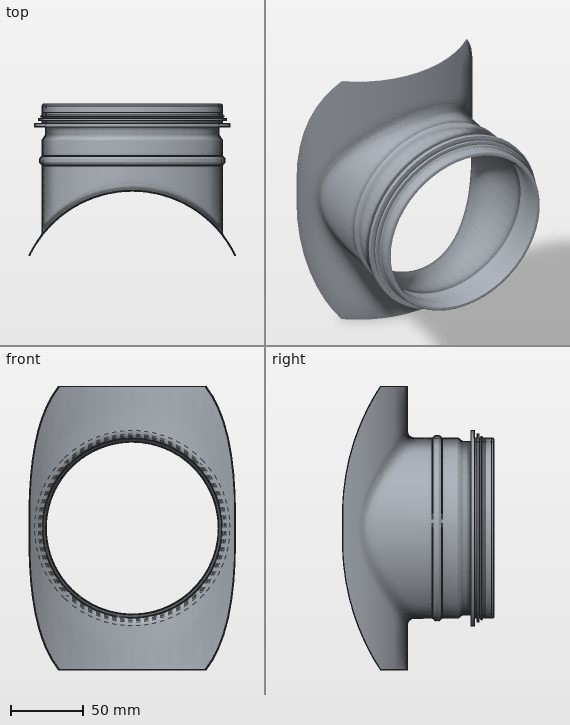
import cadquery as cq


sheet = 0.5
saddle_height = 195.0
saddle_half_width = 71.0
saddle_depth = 44.7
corner_depth = 18.5
flat_half_height = 9.8
junction_radius = 4.5
half_height = saddle_height / 2
saddle_radius = (saddle_half_width**2 + saddle_depth**2) / (2 * saddle_depth)

rim_y = 59.5
pipe_radius = 124.0 / 2
neck_radius = 119.3 / 2
neck_length = 21.6
step_length = 3.1
step_fillet = 1.5
hem_length = 6.0
hem_edge_fillet = 1.5
neck_end_y = rim_y - neck_length
step_end_y = neck_end_y - step_length

bead_radius = 127.5 / 2
bead_center_y = rim_y - 39.0
bead_base_length = 6.5
bead_crest_length = 2.5
bead_foot_fillet = 1.0
bead_crest_fillet = 0.8

flange_radius = 134.4 / 2
flange_end_y = rim_y - 15.8
flange_thickness = 2.3
lip_radius = 129.5 / 2
lip_end_y = rim_y - 11.5
lip_thickness = 1.4
ridge_radius = 126.4 / 2
ridge_crest_y = rim_y - 8.5
ridge_half_length = 1.0


def revolve_profile(points):
    """Turn a closed (radius, y) outline around the pipe axis."""
    return cq.Workplane("XY").polyline(points).close().revolve(360, (0, 0, 0), (0, 1, 0))


def ring(outer_radius, inner_radius, start_y, length):
    """Plain ring around the pipe axis, reaching from start_y towards the rim."""
    return revolve_profile([
        (inner_radius, start_y),
        (outer_radius, start_y),
        (outer_radius, start_y + length),
        (inner_radius, start_y + length),
    ])


def circles_at(solid, y):
    """The circular edges of a solid of revolution lying at one y."""
    reach = 2 * flange_radius
    tolerance = 0.02
    box = cq.selectors.BoxSelector(
        (-reach, y - tolerance, -reach), (reach, y + tolerance, reach), boundingbox=True
    )
    return solid.edges(box)


def saddled_pipe(inset):
    """Solid duct joined to the solid necked pipe, both moved in by inset from the outer skin."""
    pipe = revolve_profile([
        (0, -saddle_radius),
        (pipe_radius - inset, -saddle_radius),
        (pipe_radius - inset, step_end_y),
        (neck_radius - inset, neck_end_y),
        (neck_radius - inset, rim_y),
        (0, rim_y),
    ])
    pipe = circles_at(pipe, step_end_y).fillet(step_fillet - inset)
    pipe = circles_at(pipe, neck_end_y).fillet(step_fillet + inset)
    duct = (
        cq.Workplane("XY", origin=(0, -saddle_radius, -half_height))
        .circle(saddle_radius - inset)
        .extrude(saddle_height)
    )
    joined = duct.union(pipe)
    junction = cq.selectors.BoxSelector(
        (-saddle_half_width, -saddle_depth, -saddle_half_width),
        (saddle_half_width, step_end_y / 2, saddle_half_width),
        boundingbox=True,
    )
    return joined.edges(junction).fillet(junction_radius + inset)


def trim_block():
    """Block that keeps the pipe and cuts the saddle to its wing outline."""
    upper_half = (
        cq.Workplane("YZ")
        .moveTo(-saddle_depth, 0)
        .lineTo(-saddle_depth, flat_half_height)
        .tangentArcPoint((-corner_depth, half_height), relative=False)
        .lineTo(rim_y, half_height)
        .lineTo(rim_y, 0)
        .close()
        .extrude(saddle_half_width, both=True)
    )
    return upper_half.union(upper_half.mirror("XY"))


def make_bead():
    """Rounded bead standing on the outside of the pipe."""
    wall = ring(
        pipe_radius, pipe_radius - sheet / 2, bead_center_y - bead_base_length, 2 * bead_base_length
    )
    base = bead_base_length / 2
    crest = bead_crest_length / 2
    ridge = revolve_profile([
        (pipe_radius - sheet / 2, bead_center_y - base),
        (pipe_radius, bead_center_y - base),
        (bead_radius, bead_center_y - crest),
        (bead_radius, bead_center_y + crest),
        (pipe_radius, bead_center_y + base),
        (pipe_radius - sheet / 2, bead_center_y + base),
    ])
    bead = wall.union(ridge)
    for side in (-1, 1):
        bead = circles_at(bead, bead_center_y + side * base).fillet(bead_foot_fillet)
        bead = circles_at(bead, bead_center_y + side * crest).fillet(bead_crest_fillet)
    return bead


def make_hem():
    """Rim folded outwards and back, leaving a pocket for the sealing ring."""
    fold = ring(pipe_radius, neck_radius - sheet, rim_y - hem_length, hem_length)
    outer_edge = cq.selectors.RadiusNthSelector(-1)
    fold = fold.faces(">Y").edges(outer_edge).fillet(hem_edge_fillet)
    pocket = ring(pipe_radius - sheet, neck_radius, rim_y - hem_length, hem_length - hem_edge_fillet)
    return fold.cut(pocket)


def make_saddle_fitting():
    shell = saddled_pipe(0).cut(saddled_pipe(sheet)).intersect(trim_block())
    return shell.union(make_bead()).union(make_hem())


def make_sealing_ring():
    """Ring on the neck, held under the hem, with a pointed ridge, a lip and a flange."""
    hem_end_y = rim_y - hem_length
    seal = ring(pipe_radius, neck_radius, flange_end_y, hem_end_y - flange_end_y)
    tongue = ring(pipe_radius - sheet, neck_radius, hem_end_y, hem_length - hem_edge_fillet)
    flange = ring(flange_radius, neck_radius, flange_end_y, flange_thickness)
    lip = ring(lip_radius, neck_radius, lip_end_y, lip_thickness)
    ridge = revolve_profile([
        (neck_radius, ridge_crest_y - ridge_half_length),
        (pipe_radius, ridge_crest_y - ridge_half_length),
        (ridge_radius, ridge_crest_y),
        (pipe_radius, ridge_crest_y + ridge_half_length),
        (neck_radius, ridge_crest_y + ridge_half_length),
    ])
    return seal.union(tongue).union(flange).union(lip).union(ridge)


saddle_fitting = make_saddle_fitting()
sealing_ring = make_sealing_ring()

result = cq.Compound.makeCompound([saddle_fitting.val(), sealing_ring.val()])